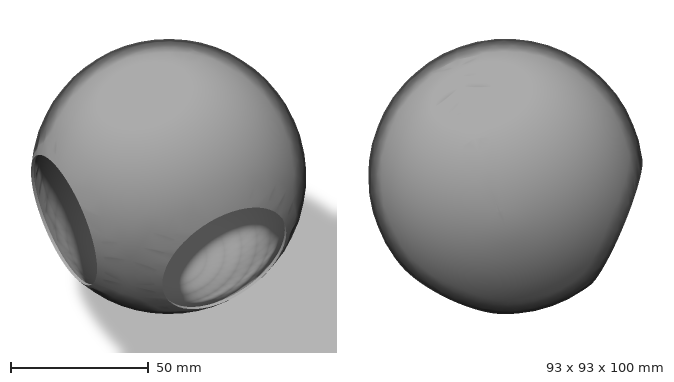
import cadquery as cq

outer_radius = 50.0
wall = 1.0
opening_radius = 25.5
inner_radius = outer_radius - wall

shell = cq.Workplane("XY").sphere(outer_radius).cut(cq.Workplane("XY").sphere(inner_radius))


def opening_cutter(plane):
    """Cylinder from the centre out through the wall, along the plane's normal."""
    return cq.Workplane(plane).circle(opening_radius).extrude(outer_radius)


result = shell.cut(opening_cutter("YZ")).cut(opening_cutter("XZ"))